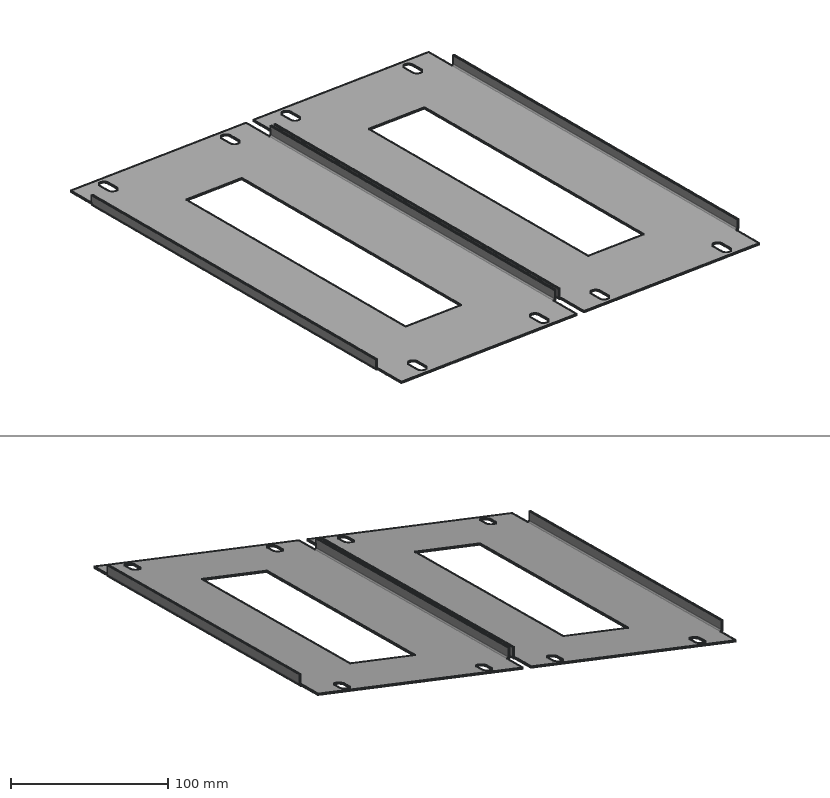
import cadquery as cq

plate_length = 332.0
overall_depth = 298.0
panel_pitch = 150.0
panel_depth = overall_depth - panel_pitch

sheet_thickness = 1.05
straight_flange_height = 6.0
flange_length = 285.5
inner_bend_radius = 0.95
outer_bend_radius = inner_bend_radius + sheet_thickness
flange_height = straight_flange_height + outer_bend_radius
plate_depth = panel_depth - 2 * outer_bend_radius

window_length = 220.5
window_depth = 45.8

slot_length = 15.3
slot_width = 7.0
slot_spacing_x = 310.5
slot_spacing_y = 100.3


def make_plate():
    """Flat plate with its underside at Z = 0."""
    return cq.Workplane("XY").box(
        plate_length, plate_depth, sheet_thickness, centered=(True, True, False)
    )


def make_flange():
    """Upturned flange on the +Y edge of the plate, joined to it by a round bend."""
    bend_start = plate_depth / 2
    outer_face = panel_depth / 2
    inner_face = outer_face - sheet_thickness
    return (
        cq.Workplane("YZ")
        .moveTo(bend_start, 0)
        .radiusArc((outer_face, outer_bend_radius), -outer_bend_radius)
        .lineTo(outer_face, flange_height)
        .lineTo(inner_face, flange_height)
        .lineTo(inner_face, outer_bend_radius)
        .radiusArc((bend_start, sheet_thickness), inner_bend_radius)
        .close()
        .extrude(flange_length / 2, both=True)
    )


def make_window():
    """Cutter for the rectangular opening in the middle of the plate."""
    return cq.Workplane("XY").rect(window_length, window_depth).extrude(sheet_thickness)


def make_mounting_slots():
    """Cutters for the four round-ended slots near the plate corners."""
    return (
        cq.Workplane("XY")
        .rect(slot_spacing_x, slot_spacing_y, forConstruction=True)
        .vertices()
        .slot2D(slot_length, slot_width)
        .extrude(sheet_thickness)
    )


def make_panel(center_y):
    """One complete sheet-metal panel, centred at the given Y."""
    flange = make_flange()
    panel = make_plate().union(flange).union(flange.mirror("XZ"))
    panel = panel.cut(make_window()).cut(make_mounting_slots())
    return panel.translate((0, center_y, 0))


panels = [make_panel(side * panel_pitch / 2) for side in (-1, 1)]

result = cq.Compound.makeCompound([panel.solids().val() for panel in panels])